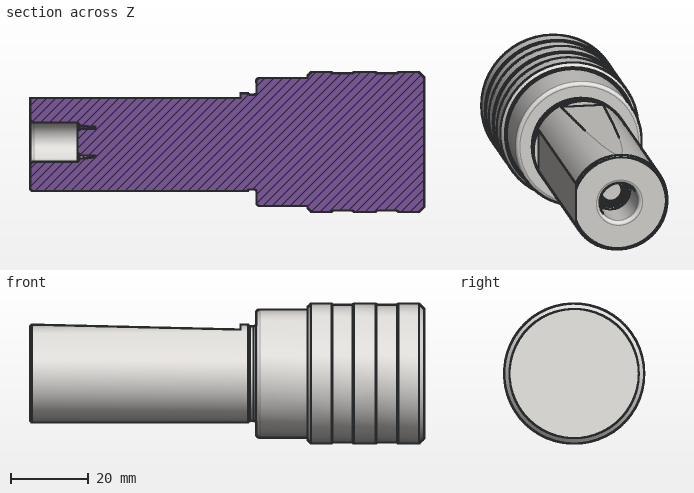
import cadquery as cq
import math

length = 101.2
shank_radius = 25.2 / 2
collar_radius = 33.0 / 2
grip_radius = 36.0 / 2
band_radius = 35.4 / 2

shank_end = 55.9
collar_start = 58.0
grip_start = 71.2

shank_chamfer = 0.5
collar_fillet = 1.0
grip_chamfer = 1.0
end_chamfer = 1.4

neck_radius = 24.8 / 2
neck_relief = 0.2
neck_slope = 0.6

bands = [(77.4, 83.1), (88.7, 94.6)]
band_slope = grip_radius - band_radius

flat_end = 54.0
flat_distance = 11.3
tilted_flat_start = 0.4

bore_radius = 10.0 / 2
bore_depth = 12.2
mouth_fillet = 1.0
cone_radius = 9.0 / 2
step_radii = [8.4 / 2, 8.2 / 2, 8.0 / 2, 7.8 / 2, 7.0 / 2]
step_length = 1.0
pin_radius = 6.9 / 2
pin_chamfer = 0.7

arc_middle = 1 - math.sqrt(0.5)


def turned_body():
    neck_floor = neck_radius - neck_relief
    shank_and_neck = [
        (0, 0),
        (0, shank_radius - shank_chamfer),
        (shank_chamfer, shank_radius),
        (shank_end, shank_radius),
        (shank_end, neck_radius),
        (shank_end + neck_slope, neck_floor),
        (collar_start - neck_slope, neck_floor),
        (collar_start, neck_radius),
        (collar_start, collar_radius - collar_fillet),
    ]
    grip = [
        (collar_start + collar_fillet, collar_radius),
        (grip_start, collar_radius),
        (grip_start, grip_radius - grip_chamfer),
        (grip_start + grip_chamfer, grip_radius),
    ]
    for start, end in bands:
        grip += [
            (start, grip_radius),
            (start + band_slope, band_radius),
            (end - band_slope, band_radius),
            (end, grip_radius),
        ]
    grip += [
        (length - end_chamfer, grip_radius),
        (length, grip_radius - end_chamfer),
        (length, 0),
    ]
    arc_offset = collar_fillet * arc_middle
    profile = (
        cq.Workplane("XY")
        .polyline(shank_and_neck)
        .threePointArc((collar_start + arc_offset, collar_radius - arc_offset), grip[0])
        .polyline(grip[1:], includeCurrent=True)
        .close()
    )
    return profile.revolve(360, (0, 0, 0), (1, 0, 0))


def straight_flat_cutter():
    """Material beyond the flat that runs parallel to the axis on the +Y side."""
    size = 2 * grip_radius
    cutter = cq.Workplane("XY").box(flat_end, size, size, centered=(False, False, True))
    return cutter.translate((0, flat_distance, 0))


def tilted_flat_cutter():
    """Material above the flat on the +Z side, which deepens toward the collar."""
    wedge = [
        (tilted_flat_start, shank_radius),
        (flat_end, flat_distance),
        (flat_end, shank_radius),
    ]
    side = cq.Workplane("XZ").polyline(wedge).close()
    return side.extrude(shank_radius, both=True)


def bore_cutter():
    """Blind bore with a rounded mouth, a conical seat and narrowing steps, leaving a pin at its centre."""
    arc_offset = mouth_fillet * arc_middle
    profile = (
        cq.Workplane("XY")
        .moveTo(0, 0)
        .lineTo(0, bore_radius + mouth_fillet)
        .threePointArc((arc_offset, bore_radius + arc_offset), (mouth_fillet, bore_radius))
        .lineTo(bore_depth, bore_radius)
    )
    depth = bore_depth + bore_radius - cone_radius
    profile = profile.lineTo(depth, cone_radius)
    for radius in step_radii:
        profile = profile.lineTo(depth, radius)
        depth += step_length
        profile = profile.lineTo(depth, radius)
    profile = (
        profile
        .lineTo(depth, pin_radius)
        .lineTo(bore_depth + pin_chamfer, pin_radius)
        .lineTo(bore_depth, pin_radius - pin_chamfer)
        .lineTo(bore_depth, 0)
        .close()
    )
    return profile.revolve(360, (0, 0, 0), (1, 0, 0))


result = (
    turned_body()
    .cut(straight_flat_cutter())
    .cut(tilted_flat_cutter())
    .cut(bore_cutter())
)